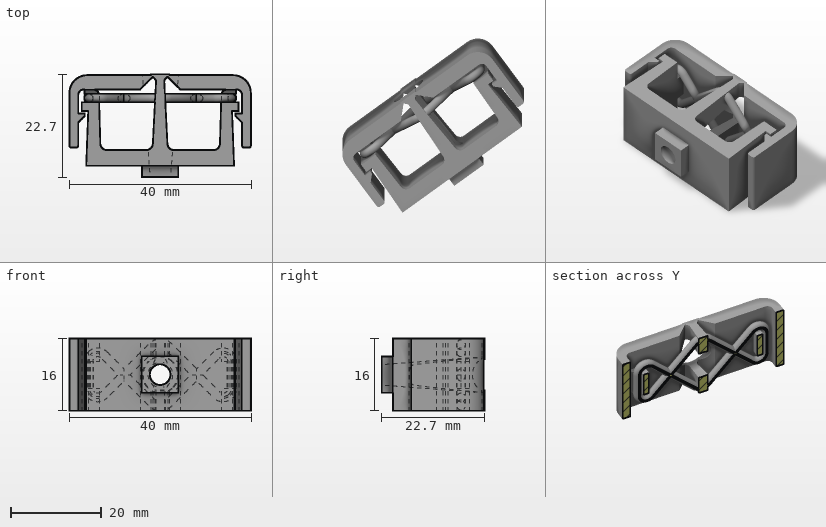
import cadquery as cq
import math

height = 16.0
mid_z = height / 2

cap_half_width = 20.0
cap_back_y = 20.0
plate_thickness = 3.2
leg_thickness = 2.0
leg_end_y = 4.0
cap_outer_radius = 4.0
cap_inner_radius = 1.2
leg_end_radius = 0.5

latch_reach = 1.45
latch_face_y = 11.55
latch_land = 0.55

base_half_width = 16.3
floor_thickness = 3.5
arm_top_y = 14.0
arm_outer_top_x = 15.85
arm_inner_top_x = 13.4
arm_inner_floor_x = 13.1
divider_half_floor = 1.7
divider_half_top = 0.92
divider_top_y = 18.85
pocket_radius = 1.4
tip_outer_x = 17.3
tip_thickness = 1.95

groove_apex_x = 1.63
groove_apex_y = 19.6
hinge_half_width = 2.05
hinge_pad_thickness = 0.2
hinge_fillet_radius = 0.8

boss_side = 8.0
boss_length = 2.5
hole_front_diameter = 4.5
hole_back_diameter = 8.0

wire_diameter = 1.9
wire_y = 14.93
crossing_x = 8.0
wire_outer_x = 15.8
outer_bend_radius = 2.0
center_bend_radius = 2.5

hook_height = 6.0
hook_outer_x = 16.7
hook_corner_radius = 1.25
hook_lip_radius = 0.2
hook_wire_overlap = 0.1
hook_neck_x = wire_outer_x - wire_diameter / 2

plate_inner_y = cap_back_y - plate_thickness
leg_inner_x = cap_half_width - leg_thickness


def both_sides(solid):
    """Join a solid on the +X side with its mirror image."""
    return solid.union(solid.mirror("YZ"))


def slab(points):
    """Full-height prism over a closed polygon."""
    return cq.Workplane("XY").polyline(points).close().extrude(height)


def vertical_edge(x, y):
    """Selector for the upright edge at (x, y)."""
    return cq.selectors.NearestToPointSelector((x, y, mid_z))


def cap_half():
    """Right half of the cap: plate, leg and latch tooth."""
    groove_edge_x = groove_apex_x + groove_apex_y - plate_inner_y
    angle = slab([
        (0, cap_back_y),
        (cap_half_width, cap_back_y),
        (cap_half_width, leg_end_y),
        (leg_inner_x, leg_end_y),
        (leg_inner_x, plate_inner_y),
        (groove_edge_x, plate_inner_y),
        (groove_apex_x, groove_apex_y),
        (0, groove_apex_y),
    ])
    angle = angle.edges(vertical_edge(cap_half_width, cap_back_y)).fillet(cap_outer_radius)
    angle = angle.edges(vertical_edge(leg_inner_x, plate_inner_y)).fillet(cap_inner_radius)
    for x in (cap_half_width, leg_inner_x):
        angle = angle.edges(vertical_edge(x, leg_end_y)).fillet(leg_end_radius)

    latch_tip_x = leg_inner_x - latch_reach
    latch = slab([
        (cap_half_width - leg_thickness / 2, latch_face_y),
        (latch_tip_x, latch_face_y),
        (latch_tip_x, latch_face_y - latch_land),
        (leg_inner_x, latch_face_y - latch_land - latch_reach),
        (cap_half_width - leg_thickness / 2, latch_face_y - latch_land - latch_reach),
    ])
    return angle.union(latch)


def base_half():
    """Right half of the base: floor, arm with outward tip, and half of the divider."""
    tip_under_y = arm_top_y - tip_thickness
    body = slab([
        (0, 0),
        (base_half_width, 0),
        (arm_outer_top_x, tip_under_y),
        (tip_outer_x, tip_under_y),
        (tip_outer_x, arm_top_y),
        (arm_inner_top_x, arm_top_y),
        (arm_inner_floor_x, floor_thickness),
        (divider_half_floor, floor_thickness),
        (divider_half_top, divider_top_y),
        (groove_apex_x, groove_apex_y),
        (hinge_half_width, cap_back_y),
        (hinge_half_width, cap_back_y + hinge_pad_thickness),
        (0, cap_back_y + hinge_pad_thickness),
    ])
    for x in (arm_inner_floor_x, divider_half_floor):
        body = body.edges(vertical_edge(x, floor_thickness)).fillet(pocket_radius)
    return body.edges(vertical_edge(divider_half_top, divider_top_y)).fillet(hinge_fillet_radius)


def hook():
    """Hook on the right arm: a neck inside the wire loop and a head over the wire."""
    head_y = wire_y + wire_diameter / 2 - hook_wire_overlap
    corner_y = plate_inner_y - hook_corner_radius
    arm_taper = (arm_inner_top_x - arm_inner_floor_x) / (arm_top_y - floor_thickness)
    neck_inner_x = arm_inner_top_x + arm_taper * (corner_y - arm_top_y)
    profile = (
        cq.Workplane("XY", origin=(0, 0, mid_z - hook_height / 2))
        .moveTo(arm_inner_top_x, arm_top_y)
        .lineTo(neck_inner_x, corner_y)
        .radiusArc((neck_inner_x + hook_corner_radius, plate_inner_y), hook_corner_radius)
        .lineTo(hook_outer_x, plate_inner_y)
        .lineTo(hook_outer_x, head_y + hook_lip_radius)
        .radiusArc((hook_outer_x - hook_lip_radius, head_y), hook_lip_radius)
        .lineTo(hook_neck_x, head_y)
        .lineTo(hook_neck_x, arm_top_y)
        .close()
    )
    return profile.extrude(hook_height)


def wire_quarter():
    """Wire from the right end, around the upper bend and down the diagonal to X = 0."""
    diagonal = math.sqrt(0.5)
    outer_center_x = wire_outer_x - outer_bend_radius
    outer_seam_x = outer_center_x - outer_bend_radius * diagonal
    outer_seam_z = outer_seam_x - crossing_x
    outer_center_z = outer_seam_z - outer_bend_radius * diagonal
    inner_seam_x = center_bend_radius * diagonal
    inner_seam_z = inner_seam_x - crossing_x
    crest_z = inner_seam_z - center_bend_radius * (1 - diagonal)
    path = (
        cq.Workplane("XZ", origin=(0, wire_y, mid_z))
        .moveTo(wire_outer_x, 0)
        .lineTo(wire_outer_x, outer_center_z)
        .tangentArcPoint((outer_seam_x, outer_seam_z), relative=False)
        .lineTo(inner_seam_x, inner_seam_z)
        .tangentArcPoint((0, crest_z), relative=False)
    )
    section = cq.Workplane("XY", origin=(wire_outer_x, wire_y, mid_z)).circle(wire_diameter / 2)
    return section.sweep(path)


def wire():
    """Closed wire that crosses itself once in each pocket."""
    upper = wire_quarter()
    lower = upper.mirror("XY", (0, 0, mid_z))
    return both_sides(upper.union(lower))


def boss():
    """Square boss on the front of the base."""
    block = cq.Workplane("XY").box(boss_side, boss_length, boss_side)
    return block.translate((0, -boss_length / 2, mid_z))


def tapered_hole():
    """Cone along the central axis, from the boss face to the back of the hinge pad."""
    length = boss_length + cap_back_y + hinge_pad_thickness
    cone = cq.Solid.makeCone(
        hole_front_diameter / 2,
        hole_back_diameter / 2,
        length,
        pnt=cq.Vector(0, -boss_length, mid_z),
        dir=cq.Vector(0, 1, 0),
    )
    return cq.Workplane("XY").add(cone)


frame = both_sides(cap_half().union(base_half()))
frame = frame.union(boss()).cut(tapered_hole())
result = frame.union(both_sides(hook())).union(wire())